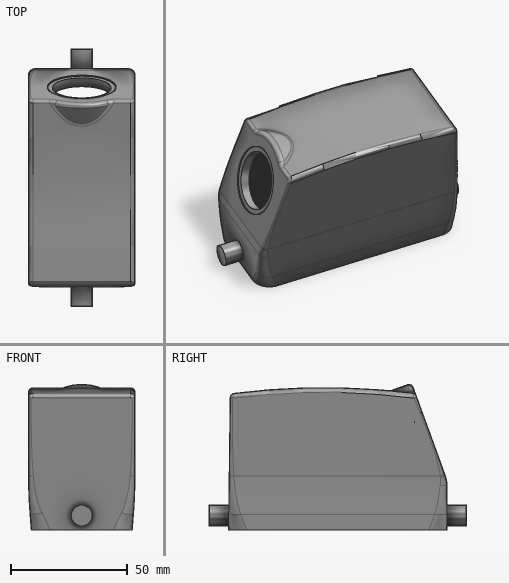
import cadquery as cq
import math

body_width = 45.5
body_length = 93.4
overall_height = 62.26
wall = 4.5
front_draft = 0.7
edge_radius = 2.0

side_upright_z = 23.2
side_flare_z = 6.6
side_flare_angle = 4.6

crown_z = 60.9
crown_y = -6.0
crown_radius = 300.0

slope_angle = 20.0
slope_start_z = 21.2

corner_radius_top = 1.0
corner_radius_upright = 2.0
corner_radius_flare = 5.2
corner_radius_rim = 7.8

crown_base_z = 57.0

collar_radius = 21.5
entry_length = 25.0
entry_radius = 12.5
seat_radius = 14.6
seat_depth = 0.5

pin_radius = 4.5
pin_z = 6.2
pin_span = 110.0

meeting_estimates = 20

half_width = body_width / 2
half_length = body_length / 2
slope_sin = math.sin(math.radians(slope_angle))
slope_cos = math.cos(math.radians(slope_angle))
slope_tan = slope_sin / slope_cos

slope_blend_radius = ((side_upright_z - slope_start_z) / slope_cos
                      / math.tan(math.radians(slope_angle / 2)))

entry_z = (overall_height - edge_radius + edge_radius * slope_sin
           - (collar_radius - edge_radius) * slope_cos)
entry_y = half_length - (entry_z - slope_start_z) * slope_tan


def crown_height(y, inset=0.0):
    """Height of the crowned top at a Y position, moved inward by an inset."""
    radius = crown_radius - inset
    return crown_z - crown_radius + math.sqrt(radius**2 - (y - crown_y) ** 2)


def lengthwise_profile(inset):
    """Side outline of the hood in the YZ plane, moved inward and extruded along X."""
    end_y = half_length - inset
    front_top_y = -end_y + crown_z * math.tan(math.radians(front_draft))
    start_z = slope_start_z - inset * math.tan(math.radians(slope_angle / 2))
    back_top_y = end_y
    for _ in range(meeting_estimates):
        back_top_y = end_y - (crown_height(back_top_y, inset) - start_z) * slope_tan
    return (
        cq.Workplane("YZ")
        .moveTo(-end_y, 0)
        .lineTo(end_y, 0)
        .lineTo(end_y, start_z)
        .lineTo(back_top_y, crown_height(back_top_y, inset))
        .threePointArc(
            (crown_y, crown_z - inset),
            (front_top_y, crown_height(front_top_y, inset)),
        )
        .close()
        .extrude(half_width - inset, both=True)
    )


def crosswise_profile():
    """Front outline with the inward-curving sides, extruded along Y."""
    flare = math.radians(side_flare_angle)
    arc_radius = (side_upright_z - side_flare_z) / math.sin(flare)
    flare_x = half_width - arc_radius * (1 - math.cos(flare))
    rim_x = flare_x - side_flare_z * math.tan(flare)
    mid_x = half_width - arc_radius * (1 - math.cos(flare / 2))
    mid_z = side_upright_z - arc_radius * math.sin(flare / 2)
    return (
        cq.Workplane("XZ")
        .moveTo(-rim_x, 0)
        .lineTo(rim_x, 0)
        .lineTo(flare_x, side_flare_z)
        .threePointArc((mid_x, mid_z), (half_width, side_upright_z))
        .lineTo(half_width, overall_height)
        .lineTo(-half_width, overall_height)
        .lineTo(-half_width, side_upright_z)
        .threePointArc((-mid_x, mid_z), (-flare_x, side_flare_z))
        .close()
        .extrude(body_length, both=True)
    )


def entry_cylinder(radius, depth):
    """Cylinder square to the sloping face, running inward from it."""
    start = cq.Vector(0, entry_y, entry_z)
    inward = cq.Vector(0, -slope_cos, -slope_sin)
    return cq.Workplane(cq.Solid.makeCylinder(radius, depth, start, inward))


def corner_radius(z):
    """Corner radius at a height, linear between the named levels."""
    levels = [
        (0, corner_radius_rim),
        (side_flare_z, corner_radius_flare),
        (side_upright_z, corner_radius_upright),
        (crown_z, corner_radius_top),
    ]
    for (low_z, low_radius), (high_z, high_radius) in zip(levels, levels[1:]):
        if z <= high_z:
            share = (z - low_z) / (high_z - low_z)
            return low_radius + (high_radius - low_radius) * share
    return corner_radius_top


def is_corner(edge):
    """True for the edges running up the four corners of the hood."""
    start = edge.startPoint()
    end = edge.endPoint()
    at_side = abs(edge.Center().x) > collar_radius
    rises = abs(end.z - start.z) > edge_radius
    return at_side and rises


def is_crown(edge):
    """True for the edges around the crowned top and around the collar."""
    return min(edge.startPoint().z, edge.endPoint().z) > crown_base_z


def round_outside(solid):
    """Varying fillets up the corners together with even fillets on the crown and collar."""
    rounding = cq.occ_impl.shapes.BRepFilletAPI_MakeFillet(solid.wrapped)
    corners = [edge for edge in solid.Edges() if is_corner(edge)]
    for edge in corners:
        if rounding.Contour(edge.wrapped) == 0:
            rounding.Add(edge.wrapped)
    for edge in corners:
        contour = rounding.Contour(edge.wrapped)
        for vertex in edge.Vertices():
            rounding.SetRadius(corner_radius(vertex.Z), contour, vertex.wrapped)
    for edge in solid.Edges():
        if is_crown(edge) and rounding.Contour(edge.wrapped) == 0:
            rounding.Add(edge_radius, edge.wrapped)
    return cq.Workplane(cq.Shape.cast(rounding.Shape()))


def hood_outside():
    """Hood with its collar, before it is hollowed."""
    body = lengthwise_profile(0)
    at_blend = cq.selectors.NearestToPointSelector((0, half_length, slope_start_z))
    body = body.edges(at_blend).fillet(slope_blend_radius)
    body = body.intersect(crosswise_profile())
    above_entry = (
        cq.Workplane(origin=(0, 0, entry_z))
        .rect(body_width, body_length)
        .extrude(overall_height)
    )
    collar = entry_cylinder(collar_radius, entry_length).intersect(above_entry)
    return round_outside(body.union(collar).val().Solids()[0])


def cavity():
    """Hollow interior, open at the rim."""
    return lengthwise_profile(wall)


def pins():
    """One bar through both ends; the cavity later leaves a pin at each end."""
    return (
        cq.Workplane("XZ")
        .center(0, pin_z)
        .circle(pin_radius)
        .extrude(pin_span / 2, both=True)
    )


result = (
    hood_outside()
    .union(pins())
    .cut(cavity())
    .cut(entry_cylinder(entry_radius, entry_length))
    .cut(entry_cylinder(seat_radius, seat_depth))
)